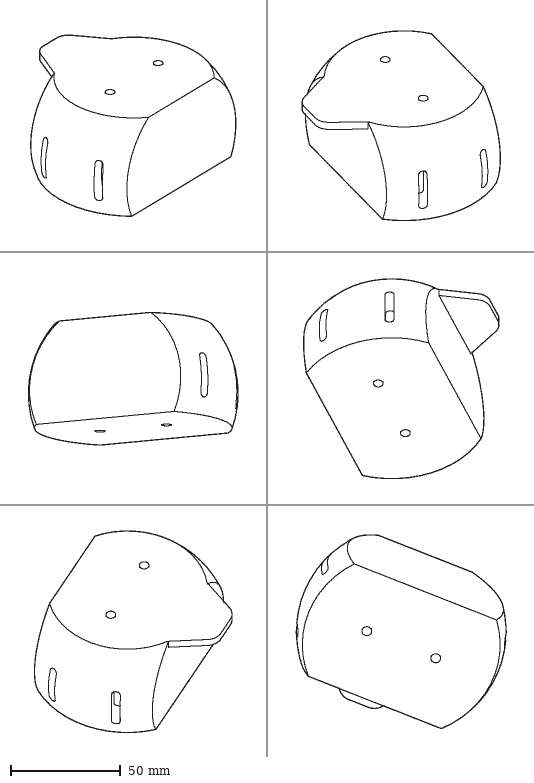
import cadquery as cq
import math

ball_radius = 47.8
top_z = 30.9
bottom_z = -16.1
tab_side_x = -30.8
far_side_x = 28.1

tab_tip_x = -49.9
tab_thickness = 4.0
tab_root_half_width = 20.0
tab_side_angle = 30.0
tab_corner_radius = 7.0
tab_overlap = 9.6

hole_diameter = 4.4
hole_y = 17.0

slot_width = 4.0
slot_depth = 10.0
slot_heading = 20.0
slot_top_angle = 12.7
slot_bottom_angle = -7.3
slot_clearance = 1.9
slot_outer_radius = ball_radius + slot_clearance
slot_floor_radius = ball_radius - slot_depth


def make_body():
    ball = cq.Workplane("XY").sphere(ball_radius)
    envelope = cq.Workplane("XY").box(
        far_side_x - tab_side_x, 2 * ball_radius, top_z - bottom_z, centered=False
    )
    return ball.intersect(envelope.translate((tab_side_x, -ball_radius, bottom_z)))


def make_tab():
    slope = math.tan(math.radians(tab_side_angle))
    tip_half_width = tab_root_half_width - (tab_side_x - tab_tip_x) * slope
    inner_x = tab_side_x + tab_overlap
    inner_half_width = tab_root_half_width + tab_overlap * slope
    outline = [
        (tab_tip_x, -tip_half_width),
        (inner_x, -inner_half_width),
        (inner_x, inner_half_width),
        (tab_tip_x, tip_half_width),
    ]
    plate = cq.Workplane("XY").workplane(offset=top_z).polyline(outline).close().extrude(-tab_thickness)
    return plate.edges("|Z and <X").fillet(tab_corner_radius)


def make_slot():
    """One slot facing +X: a radial round cutter swung up and down about the Y axis."""

    def radial_point(radius, angle):
        return (radius * math.cos(math.radians(angle)), radius * math.sin(math.radians(angle)))

    slot = (
        cq.Workplane("XZ")
        .moveTo(0, 0)
        .lineTo(*radial_point(slot_outer_radius, slot_bottom_angle))
        .lineTo(*radial_point(slot_outer_radius, slot_top_angle))
        .close()
        .extrude(slot_width / 2, both=True)
    )
    for angle in (slot_bottom_angle, slot_top_angle):
        rounded_end = cq.Workplane("YZ").circle(slot_width / 2).extrude(slot_outer_radius)
        slot = slot.union(rounded_end.rotate((0, 0, 0), (0, 1, 0), -angle))
    return slot.cut(cq.Workplane("XY").sphere(slot_floor_radius))


def make_holes():
    return (
        cq.Workplane("XY")
        .workplane(offset=bottom_z)
        .pushPoints([(0, -hole_y), (0, hole_y)])
        .circle(hole_diameter / 2)
        .extrude(top_z - bottom_z)
    )


result = make_body().union(make_tab()).cut(make_holes())

slot = make_slot()
for side in (-90, 90):
    for heading in (side - slot_heading, side + slot_heading):
        result = result.cut(slot.rotate((0, 0, 0), (0, 0, 1), heading))